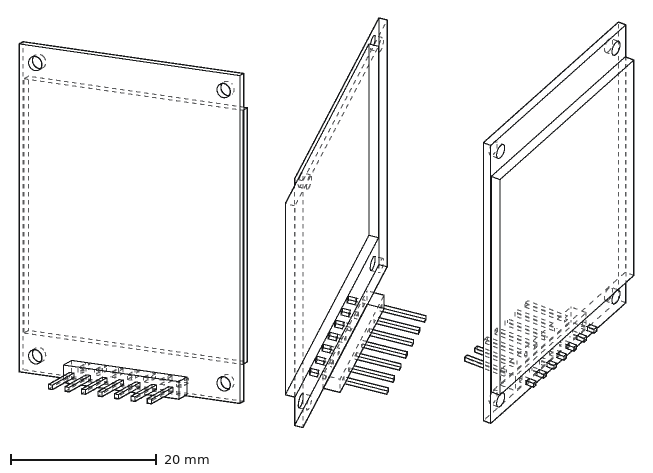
import cadquery as cq

board_width = 34.0
board_height = 47.0
board_thickness = 1.2

hole_diameter = 2.0
hole_edge_inset = 2.5
hole_spacing_x = board_width - 2 * hole_edge_inset
hole_spacing_z = board_height - 2 * hole_edge_inset

display_width = 33.7
display_height = 36.42
display_thickness = 1.4
display_bottom = 5.25

pin_count = 7
pin_pitch = 2.55
pin_side = 0.65
pin_front_length = 6.5
pin_back_length = 1.15
header_width = pin_count * pin_pitch
header_height = pin_pitch
header_depth = 2.5
pin_row_z = 1.45

pin_length = pin_front_length + header_depth + board_thickness + pin_back_length
pin_front_y = -header_depth - pin_front_length
pin_positions = [(index - (pin_count - 1) / 2) * pin_pitch for index in range(pin_count)]


def block(width, depth, height, front_y, bottom_z):
    """Box centred on X = 0, running back from front_y and up from bottom_z."""
    return cq.Workplane("XY").box(width, depth, height, centered=(True, False, False)).translate(
        (0, front_y, bottom_z)
    )


def make_pins():
    """Row of square pins that run through the header block and the board."""
    pin = block(pin_side, pin_length, pin_side, pin_front_y, pin_row_z - pin_side / 2)
    return [pin.translate((x, 0, 0)) for x in pin_positions]


def make_display_module():
    """Board with its display panel, mounting holes and square pin holes."""
    module = block(board_width, board_thickness, board_height, 0, 0)
    module = module.union(
        block(display_width, display_thickness, display_height, board_thickness, display_bottom)
    )
    holes = (
        cq.Workplane("XZ", origin=(0, 0, board_height / 2))
        .rect(hole_spacing_x, hole_spacing_z, forConstruction=True)
        .vertices()
        .circle(hole_diameter / 2)
        .extrude(-board_thickness)
    )
    module = module.cut(holes)
    for pin in make_pins():
        module = module.cut(pin)
    return module


def make_header():
    """Header block with its row of pins."""
    header = block(header_width, header_depth, header_height, -header_depth, pin_row_z - header_height / 2)
    for pin in make_pins():
        header = header.union(pin)
    return header


display_module = make_display_module()
header = make_header()

result = cq.Compound.makeCompound([display_module.val(), header.val()])